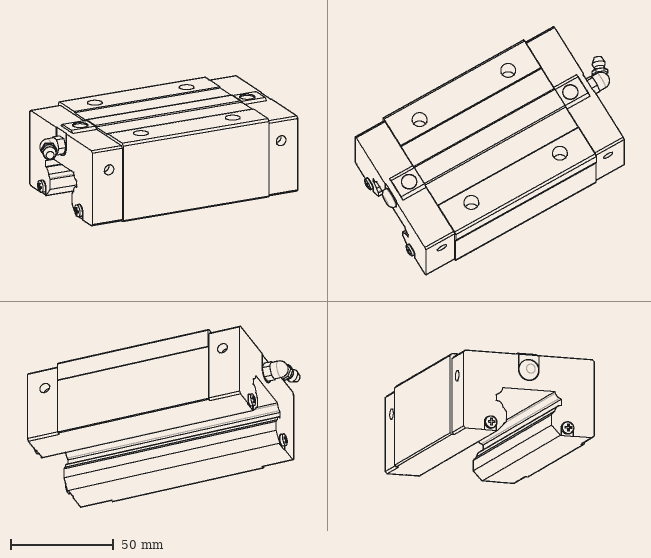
import cadquery as cq
import math


block_width = 70.0
block_length = 79.7
block_height = 40.5
block_top_chamfer = 1.2
block_bottom_chamfer = 0.8
side_relief_depth = 0.4
side_relief_height = 30.1

top_recess_width = 36.0
top_recess_depth = 0.5
top_recess_side_run = 0.4
strip_width = 9.6
strip_slope_ratio = 0.7

mount_spacing_x = 49.7
mount_spacing_y = 50.1
mount_diameter = 7.2
mount_depth = 12.2
drill_point_angle = 118

cap_end_y = 56.2
cap_half_width = 33.9
cap_height = 39.0
cap_chamfer = 1.0
cap_strip_height = 40.1
cap_strip_end_y = 53.0
strip_dimple_diameter = 7.5
strip_dimple_depth = 0.6
strip_dimple_y = 45.6
side_hole_diameter = 5.1
side_hole_depth = 5.1
side_hole_y = 47.0
side_hole_z = 27.9

rail_roof_half_width = 13.5
rail_roof_z = 21.6
pocket_half_width = 16.8
pocket_top_z = 18.0
pocket_bottom_z = 14.9
rib_root_half_width = 15.9
upper_rib_nose_half_width = 13.8
lower_rib_nose_half_width = 13.5
upper_rib_root_z = 18.5
upper_rib_nose_z = 20.8
lower_rib_nose_z = 12.0
rib_radius = 3.3
lip_half_width = 11.7
lip_top_z = 9.9
lip_bevel_width = 0.4
lip_bevel_height = 0.5
lip_bottom_z = 4.8
mouth_half_width = 16.3

end_recess_depth = 0.4
port_z = 31.5
port_recess_radius = 5.3

screw_x = 19.9
screw_z = 3.9
screw_seat_radius = 3.1
screw_radius = 3.0
screw_rim = 1.2
screw_head_height = 2.0
cross_length = 3.3
cross_width = 0.84
cross_depth = 0.6

plug_diameter = 10.2
plug_end_y = 59.0
plug_rounding = 2.8

nipple_hex_corner_diameter = 9.1
nipple_hex_end_y = -59.6
nipple_radius = 4.1
elbow_y = -63.1
spout_angle = 22.5
collar_start = 3.6
collar_end = 5.3
collar_corner_diameter = 7.8
neck_start_radius = 3.1
waist_distance = 7.1
waist_radius = 2.3
shoulder_distance = 7.8
shoulder_radius = 3.0
head_distance = 9.0
head_radius = 3.2
tip_distance = 12.0
tip_radius = 1.9

port_floor_y = cap_end_y - end_recess_depth


def along_y(sketch, y_start, y_end):
    """Extrude an XZ outline from y_start to y_end."""
    solid = sketch.extrude(y_start - y_end)
    return solid.translate((0, y_start, 0))


def trapezoid_bar(base_width, base_z, top_width, top_z, y_start, y_end):
    """Bar along Y with a trapezoid section, centred on X = 0."""
    outline = cq.Workplane("XZ").polyline([
        (-base_width / 2, base_z),
        (-top_width / 2, top_z),
        (top_width / 2, top_z),
        (base_width / 2, base_z),
    ]).close()
    return along_y(outline, y_start, y_end)


def raised_strip(base_z, top_z, y_start, y_end):
    """Middle strip with sloping sides."""
    side_run = (top_z - base_z) / strip_slope_ratio
    return trapezoid_bar(strip_width + 2 * side_run, base_z, strip_width, top_z, y_start, y_end)


def make_block():
    block = cq.Workplane("XY").box(block_width, block_length, block_height, centered=(True, True, False))
    block = block.edges("|Y and >Z").chamfer(block_top_chamfer)
    block = block.edges("|Y and <Z").chamfer(block_bottom_chamfer)
    relief = cq.Workplane("XY").box(
        2 * side_relief_depth, block_length, side_relief_height, centered=(True, True, False)
    ).translate((-block_width / 2, 0, 0))
    recess_floor = block_height - top_recess_depth
    ends = (-block_length / 2, block_length / 2)
    recess_floor_width = top_recess_width - 2 * top_recess_side_run
    recess = trapezoid_bar(recess_floor_width, recess_floor, top_recess_width, block_height, *ends)
    strip = raised_strip(recess_floor, block_height, *ends)
    return block.cut(relief).cut(recess.cut(strip))


def make_end_cap(side):
    """End cap on the side = +1 or -1 end of the block."""
    y_inner = side * block_length / 2
    y_start, y_end = sorted((y_inner, side * cap_end_y))
    outline = cq.Workplane("XZ").center(0, cap_height / 2).rect(2 * cap_half_width, cap_height)
    cap = along_y(outline, y_start, y_end).edges("|Y").chamfer(cap_chamfer)
    y_start, y_end = sorted((y_inner, side * cap_strip_end_y))
    return cap.union(raised_strip(cap_height, cap_strip_height, y_start, y_end))


def rail_opening():
    """Rail opening: half outline on +X, mirrored to -X."""
    half = (
        cq.Workplane("XZ")
        .lineTo(0, rail_roof_z)
        .lineTo(rail_roof_half_width, rail_roof_z)
        .lineTo(upper_rib_nose_half_width, upper_rib_nose_z)
        .radiusArc((rib_root_half_width, upper_rib_root_z), -rib_radius)
        .lineTo(pocket_half_width, pocket_top_z)
        .lineTo(pocket_half_width, pocket_bottom_z)
        .lineTo(rib_root_half_width, pocket_bottom_z)
        .radiusArc((lower_rib_nose_half_width, lower_rib_nose_z), -rib_radius)
        .lineTo(lip_half_width + lip_bevel_width, lip_top_z + lip_bevel_height)
        .lineTo(lip_half_width, lip_top_z)
        .lineTo(lip_half_width, lip_bottom_z)
        .lineTo(mouth_half_width, 0)
        .close()
    )
    right = along_y(half, -cap_end_y, cap_end_y)
    return right.union(right.mirror("YZ"))


def mounting_holes():
    radius = mount_diameter / 2
    point_depth = radius / math.tan(math.radians(drill_point_angle / 2))
    floor_z = block_height - mount_depth
    drill = (
        cq.Workplane("XZ")
        .polyline([(0, block_height), (radius, block_height), (radius, floor_z), (0, floor_z - point_depth)])
        .close()
        .revolve(360, (0, 0), (0, 1))
    )
    places = cq.Workplane("XY").rect(mount_spacing_x, mount_spacing_y, forConstruction=True).vertices()
    return places.eachpoint(lambda place: drill.val().moved(place))


def cylinder_y(radius, x, z, y_start, y_end):
    return along_y(cq.Workplane("XZ").center(x, z).circle(radius), y_start, y_end)


def end_face_recesses(side):
    y_start, y_end = sorted((side * port_floor_y, side * cap_end_y))
    port = cylinder_y(port_recess_radius, 0, port_z, y_start, y_end)
    port_slot = cq.Workplane("XZ").center(0, (port_z + cap_height) / 2).rect(
        2 * port_recess_radius, cap_height - port_z)
    recesses = port.union(along_y(port_slot, y_start, y_end))
    for x in (-screw_x, screw_x):
        seat = cylinder_y(screw_seat_radius, x, screw_z, y_start, y_end)
        seat_slot = cq.Workplane("XZ").center(x, screw_z / 2).rect(2 * screw_seat_radius, screw_z)
        recesses = recesses.union(seat).union(along_y(seat_slot, y_start, y_end))
    return recesses


def make_screw():
    """Domed cross-slot screw head, standing along +Z."""
    rim_z = end_recess_depth + screw_rim
    top_z = end_recess_depth + screw_head_height
    dome_radius = (screw_radius ** 2 + (top_z - rim_z) ** 2) / (2 * (top_z - rim_z))
    mid_x = screw_radius / 2
    mid_z = top_z - dome_radius + math.sqrt(dome_radius ** 2 - mid_x ** 2)
    head = (
        cq.Workplane("XZ")
        .lineTo(screw_radius, 0)
        .lineTo(screw_radius, rim_z)
        .threePointArc((mid_x, mid_z), (0, top_z))
        .close()
        .revolve(360, (0, 0), (0, 1))
    )
    slot_plane = cq.Workplane("XY").workplane(offset=top_z - cross_depth)
    cross = slot_plane.rect(cross_length, cross_width).extrude(cross_depth)
    cross = cross.union(slot_plane.rect(cross_width, cross_length).extrude(cross_depth))
    return head.cut(cross)


def placed_screw(x, side):
    screw = make_screw().rotate((0, 0, 0), (1, 0, 0), -90 * side)
    return screw.translate((x, side * port_floor_y, screw_z))


def make_plug():
    plug = cylinder_y(plug_diameter / 2, 0, port_z, port_floor_y, plug_end_y)
    return plug.faces(">Y").edges().fillet(plug_rounding)


def make_nipple():
    hexagon = cq.Workplane("XZ").center(0, port_z).polygon(6, nipple_hex_corner_diameter)
    base = along_y(hexagon, nipple_hex_end_y, -port_floor_y)
    barrel = cylinder_y(nipple_radius, 0, port_z, elbow_y, nipple_hex_end_y)
    elbow = cq.Workplane("XY").sphere(nipple_radius).translate((0, elbow_y, port_z))

    collar = (
        cq.Workplane("YZ")
        .workplane(offset=collar_start)
        .polygon(6, collar_corner_diameter)
        .extrude(collar_end - collar_start)
    )
    spout = (
        cq.Workplane("XY")
        .moveTo(collar_start, 0)
        .lineTo(collar_start, neck_start_radius)
        .lineTo(collar_end, neck_start_radius)
        .lineTo(waist_distance, waist_radius)
        .threePointArc((shoulder_distance, shoulder_radius), (head_distance, head_radius))
        .lineTo(tip_distance, tip_radius)
        .lineTo(tip_distance, 0)
        .close()
        .revolve(360, (0, 0), (1, 0))
    )
    spout = spout.union(collar).rotate((0, 0, 0), (0, 0, 1), -spout_angle)
    return base.union(barrel).union(elbow).union(spout.translate((0, elbow_y, port_z)))


def strip_dimple(side):
    plane = cq.Workplane("XY").workplane(offset=cap_strip_height - strip_dimple_depth)
    return plane.center(0, side * strip_dimple_y).circle(strip_dimple_diameter / 2).extrude(strip_dimple_depth)


def side_hole(x_side, y_side):
    profile = cq.Workplane("YZ").center(y_side * side_hole_y, side_hole_z).circle(side_hole_diameter / 2)
    return profile.extrude(-x_side * side_hole_depth).translate((x_side * cap_half_width, 0, 0))


result = make_block()
for y_side in (-1, 1):
    result = result.union(make_end_cap(y_side))
result = result.cut(rail_opening()).cut(mounting_holes())

for y_side in (-1, 1):
    result = result.cut(end_face_recesses(y_side)).cut(strip_dimple(y_side))
    for x_side in (-1, 1):
        result = result.cut(side_hole(x_side, y_side))
        result = result.union(placed_screw(x_side * screw_x, y_side))

result = result.union(make_plug()).union(make_nipple())